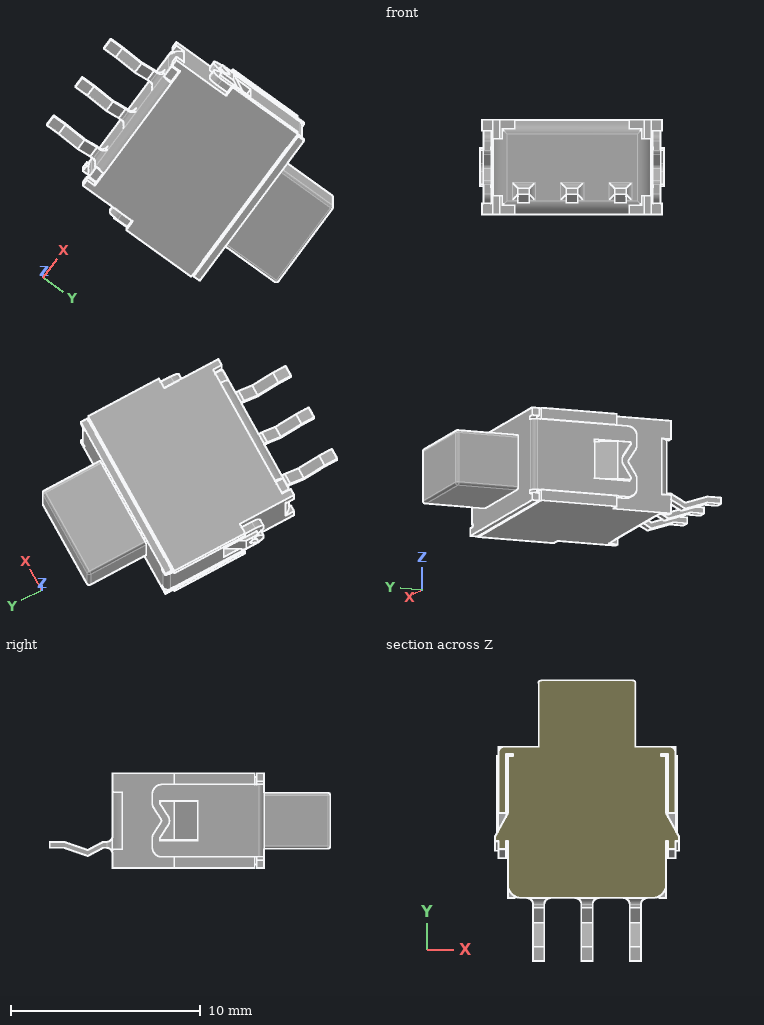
import cadquery as cq
import math


OVERALL_LENGTH = 14.8

HEIGHT = 5.0
NARROW_WIDTH = 8.35
WIDE_WIDTH = 9.5
HOUSING_LENGTH = 7.5
WIDE_START_Y = 3.25

END_DEPTH = 0.52
END_ROUND = 0.74
POST_WIDTH = 0.37
POST_HEIGHT = 0.99
BASE_CORE_WIDTH = 7.34
BASE_CORE_HEIGHT = 4.03
TOP_ROLL_WIDTH = 6.01
SIDE_ROLL_HEIGHT = HEIGHT - 2 * POST_HEIGHT

SHEET = 0.4
COVER_WIDTH = 9.32
COVER_BACK_Y = 7.99
COVER_FRONT_Y = COVER_BACK_Y - SHEET
BEND_RADIUS = 0.3
RELIEF = 0.18
RELIEF_DEPTH = 0.4
SPACER_WIDTH = 7.81
SPACER_HEIGHT = 4.62
SPACER_ROUND = 0.5

ARM_HEIGHT = 3.82
ARM_CORNER = 0.5
WINDOW_HEIGHT = 2.1
WINDOW_BACK_Y = 4.48
WINDOW_FRONT_Y = 2.5
KINK_START_Z = 0.9
KINK_ANGLE = math.radians(32.7)
KINK_TIP_ROUND = 0.12

LATCH_WIDTH = 9.7
LATCH_HEIGHT = 2.03
LATCH_CORNER = 0.07

ACTUATOR_WIDTH = 5.12
ACTUATOR_HEIGHT = 2.96
ACTUATOR_END_Y = 11.48
ACTUATOR_ROUND = 0.15

PIN_PITCH = 2.55
PIN_WIDTH = 0.6
PIN_THICKNESS = 0.33
PIN_TOP_Z = -1.11
PIN_LENGTH = OVERALL_LENGTH - ACTUATOR_END_Y
PIN_DIP = 0.43
PIN_BEND_START = 0.49
PIN_DIP_AT = 1.3
PIN_BEND_END = 2.55
FLARE_RADIUS = 0.31


def block(width, height, y_start, y_end):
    """Box centred on X and Z between two Y positions."""
    length = y_end - y_start
    return cq.Workplane("XY").box(width, length, height).translate((0, (y_start + y_end) / 2, 0))


def both_sides(left):
    return left.union(left.mirror("YZ"))


def housing():
    body = block(NARROW_WIDTH, HEIGHT, END_DEPTH, HOUSING_LENGTH)
    shoulders = block(WIDE_WIDTH, HEIGHT, WIDE_START_Y, HOUSING_LENGTH)
    arm_channel = block(WIDE_WIDTH, ARM_HEIGHT, WIDE_START_Y, HOUSING_LENGTH)
    body = body.union(shoulders.cut(arm_channel))

    posts = (
        cq.Workplane("XY")
        .rect(NARROW_WIDTH - POST_WIDTH, HEIGHT - POST_HEIGHT, forConstruction=True)
        .vertices()
        .rect(POST_WIDTH, POST_HEIGHT)
        .extrude(END_DEPTH)
        .rotate((0, 0, 0), (1, 0, 0), 90)
        .translate((0, END_DEPTH, 0))
    )
    return body.union(posts)


def rounded_base():
    """Rounded terminal face, trimmed to a core plus rolls along all four sides."""
    rounded = block(NARROW_WIDTH, HEIGHT, 0, 2 * END_ROUND).faces("<Y").edges().fillet(END_ROUND)
    trim = block(BASE_CORE_WIDTH, BASE_CORE_HEIGHT, 0, END_DEPTH)
    trim = trim.union(block(TOP_ROLL_WIDTH, HEIGHT, 0, END_DEPTH))
    trim = trim.union(block(NARROW_WIDTH, SIDE_ROLL_HEIGHT, 0, END_DEPTH))
    return rounded.intersect(trim)


def cover_plate():
    plate = block(COVER_WIDTH, HEIGHT, COVER_FRONT_Y, COVER_BACK_Y)
    bend_zone = block(COVER_WIDTH, ARM_HEIGHT, COVER_FRONT_Y, COVER_BACK_Y)
    bend = bend_zone.edges("|Z and >Y").fillet(BEND_RADIUS)
    plate = plate.cut(bend_zone).union(bend)

    reliefs = (
        cq.Workplane("XZ", origin=(0, COVER_BACK_Y, 0))
        .rect(COVER_WIDTH, ARM_HEIGHT + RELIEF, forConstruction=True)
        .vertices()
        .slot2D(2 * RELIEF_DEPTH, RELIEF)
        .extrude(SHEET)
    )
    spacer = block(SPACER_WIDTH, SPACER_HEIGHT, HOUSING_LENGTH, COVER_FRONT_Y)
    spacer = spacer.edges("|Y").fillet(SPACER_ROUND)
    return plate.cut(reliefs).union(spacer)


def kink_points():
    """Start of the outer V (y, z) and the y of its tip, one sheet width from the window."""
    outer_y = WINDOW_FRONT_Y - SHEET * math.cos(KINK_ANGLE)
    outer_z = KINK_START_Z - SHEET * math.sin(KINK_ANGLE)
    tip_y = outer_y + outer_z * math.tan(KINK_ANGLE)
    return outer_y, outer_z, tip_y


def window_outline(plane):
    """Window in the YZ plane; its front end is kinked back with a rounded tip."""
    half = WINDOW_HEIGHT / 2
    _, _, tip_y = kink_points()
    arc_y = tip_y + SHEET * math.cos(KINK_ANGLE)
    arc_z = SHEET * math.sin(KINK_ANGLE)
    return (
        plane.moveTo(WINDOW_BACK_Y, half)
        .lineTo(WINDOW_FRONT_Y, half)
        .lineTo(WINDOW_FRONT_Y, KINK_START_Z)
        .lineTo(arc_y, arc_z)
        .threePointArc((tip_y + SHEET, 0), (arc_y, -arc_z))
        .lineTo(WINDOW_FRONT_Y, -KINK_START_Z)
        .lineTo(WINDOW_FRONT_Y, -half)
        .lineTo(WINDOW_BACK_Y, -half)
        .close()
    )


def left_arm():
    half = ARM_HEIGHT / 2
    end_y = WINDOW_FRONT_Y - SHEET
    outer_y, outer_z, tip_y = kink_points()
    mid_y = WINDOW_FRONT_Y - SHEET * math.cos(KINK_ANGLE / 2)
    mid_z = KINK_START_Z - SHEET * math.sin(KINK_ANGLE / 2)
    side = cq.Workplane("YZ", origin=(-COVER_WIDTH / 2, 0, 0))
    arm = (
        side.moveTo(COVER_FRONT_Y, half)
        .lineTo(end_y + ARM_CORNER, half)
        .radiusArc((end_y, half - ARM_CORNER), -ARM_CORNER)
        .lineTo(end_y, KINK_START_Z)
        .threePointArc((mid_y, mid_z), (outer_y, outer_z))
        .lineTo(tip_y, 0)
        .lineTo(outer_y, -outer_z)
        .threePointArc((mid_y, -mid_z), (end_y, -KINK_START_Z))
        .lineTo(end_y, ARM_CORNER - half)
        .radiusArc((end_y + ARM_CORNER, -half), -ARM_CORNER)
        .lineTo(COVER_FRONT_Y, -half)
        .close()
        .extrude(SHEET)
    )
    tip = cq.NearestToPointSelector(((SHEET - COVER_WIDTH) / 2, tip_y, 0))
    arm = arm.edges(tip).fillet(KINK_TIP_ROUND)
    return arm.cut(window_outline(side).extrude(SHEET))


def left_latch():
    """Boss that follows the window outline, ramping out from the housing wall."""
    wall_x = -NARROW_WIDTH / 2
    peak_x = -LATCH_WIDTH / 2
    boss = window_outline(cq.Workplane("YZ", origin=(peak_x, 0, 0))).extrude(wall_x - peak_x)
    envelope = block(LATCH_WIDTH, LATCH_HEIGHT, WINDOW_FRONT_Y, WINDOW_BACK_Y)
    envelope = envelope.edges("|X and <Y").fillet(LATCH_CORNER)
    ramp = (
        cq.Workplane("XY", origin=(0, 0, -WINDOW_HEIGHT / 2))
        .polyline([(wall_x, WINDOW_BACK_Y), (peak_x, WINDOW_BACK_Y), (peak_x, WIDE_START_Y)])
        .close()
        .extrude(WINDOW_HEIGHT)
    )
    return boss.intersect(envelope).cut(ramp)


def actuator():
    knob = block(ACTUATOR_WIDTH, ACTUATOR_HEIGHT, COVER_FRONT_Y, ACTUATOR_END_Y)
    return knob.edges("|Y or >Y").fillet(ACTUATOR_ROUND)


def flare_profile(plane, centre, root):
    """Root of the given size, widening toward the base with concave arcs."""
    narrow = root / 2
    wide = narrow + FLARE_RADIUS
    return (
        plane.moveTo(centre - wide, 0)
        .radiusArc((centre - narrow, -FLARE_RADIUS), FLARE_RADIUS)
        .lineTo(centre + narrow, -FLARE_RADIUS)
        .radiusArc((centre + wide, 0), FLARE_RADIUS)
        .close()
    )


def terminal():
    dip_z = PIN_TOP_Z - PIN_DIP
    upper = [
        (0, PIN_TOP_Z),
        (-PIN_BEND_START, PIN_TOP_Z),
        (-PIN_DIP_AT, dip_z),
        (-PIN_BEND_END, PIN_TOP_Z),
        (-PIN_LENGTH, PIN_TOP_Z),
    ]
    lower = [(y, z - PIN_THICKNESS) for y, z in reversed(upper)]
    side = cq.Workplane("YZ")
    pin = side.polyline(upper + lower).close().extrude(PIN_WIDTH / 2, both=True)

    pin_z = PIN_TOP_Z - PIN_THICKNESS / 2
    across = flare_profile(cq.Workplane("XY"), 0, PIN_WIDTH).extrude(HEIGHT / 2, both=True)
    upright = (
        flare_profile(cq.Workplane("XY"), -pin_z, PIN_THICKNESS)
        .extrude(PIN_WIDTH / 2 + FLARE_RADIUS, both=True)
        .rotate((0, 0, 0), (0, 1, 0), 90)
    )
    return pin.union(across.intersect(upright))


result = housing().union(rounded_base()).union(cover_plate())
result = result.union(both_sides(left_arm())).union(both_sides(left_latch())).union(actuator())
for pin_x in (-PIN_PITCH, 0, PIN_PITCH):
    result = result.union(terminal().translate((pin_x, 0, 0)))